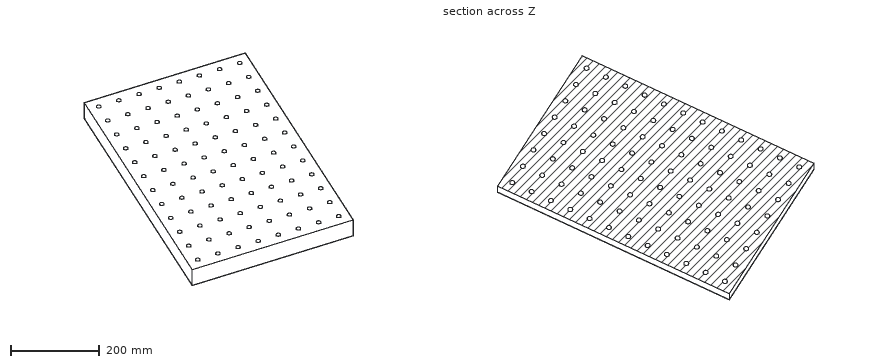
import cadquery as cq

length = 600.0
columns = 12
rows = 8
pitch = length / columns
width = rows * pitch
thickness = pitch
hole_diameter = 10.0


def make_plate():
    """Plain rectangular plate centred on the origin."""
    return cq.Workplane("XY").box(length, width, thickness)


def drill_hole_grid(plate):
    """Drill straight through at every cell centre of the grid."""
    return (
        plate.faces(">Z")
        .workplane()
        .rarray(pitch, pitch, columns, rows)
        .hole(hole_diameter)
    )


result = drill_hole_grid(make_plate())